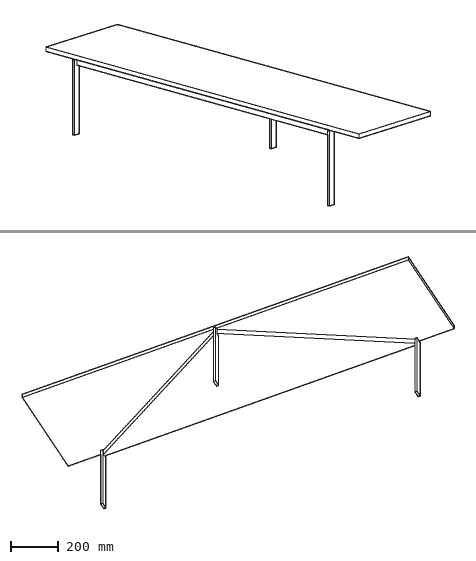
import cadquery as cq

top_length = 1800.0
top_width = 440.0
top_thickness = 20.0

table_height = 350.0
leg_overhang = 8.1
leg_width = 30.0
leg_thickness = 9.9
front_leg_x = 733.0

frame_depth = 25.0
frame_setback = 15.0
frame_end_width = 10.0

leg_height = table_height - top_thickness
leg_outer_y = top_width / 2 + leg_overhang
leg_center_y = leg_outer_y - leg_width / 2
frame_edge_y = leg_outer_y - frame_setback
frame_end_x = front_leg_x - leg_thickness / 2
frame_end_y = -frame_edge_y + frame_end_width


def upright_box(size_x, size_y, height, x, y, bottom):
    """Box centred on x and y, standing on the given height."""
    return (
        cq.Workplane("XY")
        .box(size_x, size_y, height, centered=(True, True, False))
        .translate((x, y, bottom))
    )


def make_top():
    return upright_box(top_length, top_width, top_thickness, 0, 0, leg_height)


def make_leg(x, y):
    return upright_box(leg_thickness, leg_width, leg_height, x, y, 0)


def make_frame(back_leg):
    """Tapering plate between the front legs, notched around the back leg."""
    outline = [
        (-frame_end_x, -frame_edge_y),
        (frame_end_x, -frame_edge_y),
        (frame_end_x, frame_end_y),
        (leg_thickness / 2, frame_edge_y),
        (-leg_thickness / 2, frame_edge_y),
        (-frame_end_x, frame_end_y),
    ]
    plate = (
        cq.Workplane("XY")
        .workplane(offset=leg_height - frame_depth)
        .polyline(outline)
        .close()
        .extrude(frame_depth)
    )
    return plate.cut(back_leg)


leg_places = [
    (-front_leg_x, -leg_center_y),
    (front_leg_x, -leg_center_y),
    (0, leg_center_y),
]

table_top = make_top()
legs = [make_leg(x, y) for x, y in leg_places]
frame = make_frame(legs[-1])

result = cq.Compound.makeCompound([table_top.val(), frame.val(), *[leg.val() for leg in legs]])